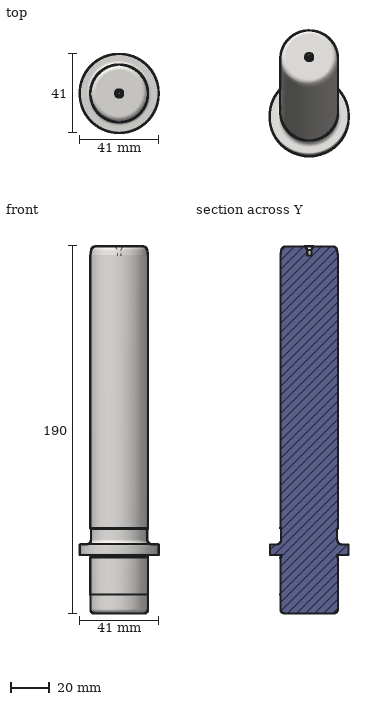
import cadquery as cq

length = 190.0
body_radius = 15.0
flange_radius = 20.5

shank_end_rounding = 2.3
pilot_length = 9.9
pilot_relief = 0.05
shank_top = 29.6
undercut_depth = 0.5

flange_bottom = 30.2
flange_top = 36.0
flange_edge_rounding = 0.8
neck_radius = 14.6
neck_fillet = 2.3
neck_top = 43.9

lead_length = 4.8
lead_end_radius = 14.2
lead_rounding = 2.7

centre_mouth_radius = 2.0
centre_drill_radius = 1.0
centre_cone_depth = 1.9
centre_depth = 4.8


def revolved_pin():
    """Turn the stepped pin from its half section, radius along X and height along Z."""
    pilot_radius = body_radius - pilot_relief
    undercut_radius = body_radius - undercut_depth
    body_edge_chamfer = body_radius - neck_radius
    profile = (
        cq.Workplane("XZ")
        .lineTo(pilot_radius, 0)
        .lineTo(pilot_radius, pilot_length)
        .lineTo(body_radius, pilot_length)
        .lineTo(body_radius, shank_top - undercut_depth)
        .lineTo(undercut_radius, shank_top)
        .lineTo(undercut_radius, flange_bottom)
        .lineTo(flange_radius, flange_bottom)
        .lineTo(flange_radius, flange_top)
        .lineTo(neck_radius + neck_fillet, flange_top)
        .radiusArc((neck_radius, flange_top + neck_fillet), neck_fillet)
        .lineTo(neck_radius, neck_top)
        .lineTo(body_radius, neck_top + body_edge_chamfer)
        .lineTo(body_radius, length - lead_length)
        .lineTo(lead_end_radius, length)
        .lineTo(0, length)
        .close()
    )
    return profile.revolve(360, (0, 0, 0), (0, 1, 0))


def centre_hole():
    """Conical mouth running into a small straight drilling."""
    cone_bottom = length - centre_cone_depth
    return (
        cq.Workplane("XZ")
        .moveTo(0, length)
        .lineTo(centre_mouth_radius, length)
        .lineTo(centre_drill_radius, cone_bottom)
        .lineTo(centre_drill_radius, length - centre_depth)
        .lineTo(0, length - centre_depth)
        .close()
        .revolve(360, (0, 0, 0), (0, 1, 0))
    )


def flange_rims(pin):
    """Select the two outer rims of the flange."""
    margin = 0.2
    rim_box = cq.selectors.BoxSelector(
        (-flange_radius, -flange_radius, flange_bottom - margin),
        (flange_radius, flange_radius, flange_top + margin),
        boundingbox=False,
    )
    return pin.edges(rim_box).edges(cq.selectors.RadiusNthSelector(-1))


pin = revolved_pin()
pin = flange_rims(pin).fillet(flange_edge_rounding)
pin = pin.faces("<Z").edges().fillet(shank_end_rounding)
pin = pin.faces(">Z").edges().fillet(lead_rounding)
result = pin.cut(centre_hole())